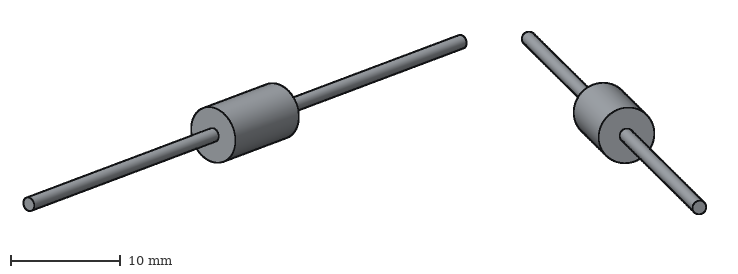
import cadquery as cq

total_length = 61.8
lead_diameter = 1.3
body_diameter = 5.25
body_length = 9.1


def cylinder_along_y(diameter, length):
    """Cylinder on the Y axis, centred on the origin."""
    front_plane = cq.Workplane("XZ", origin=(0, -length / 2, 0))
    return front_plane.circle(diameter / 2).extrude(-length)


body = cylinder_along_y(body_diameter, body_length)
lead_wire = cylinder_along_y(lead_diameter, total_length)

result = body.union(lead_wire)